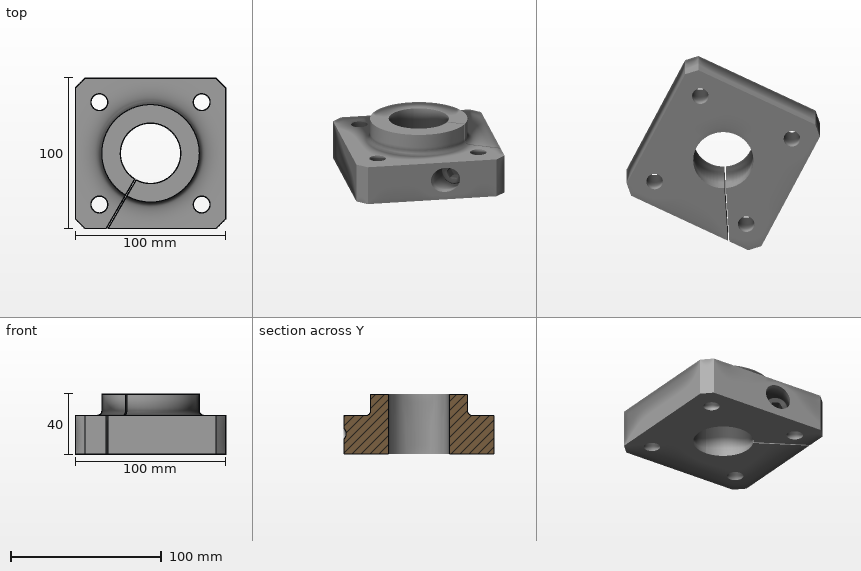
import cadquery as cq
import math

flange_side = 100.0
flange_height = 26.0
corner_chamfer = 6.5

total_height = 40.0
collar_diameter = 64.8
bore_diameter = 40.0
collar_fillet = 3.0

mount_hole_diameter = 11.0
mount_hole_spacing = 68.0

slit_width = 1.0
slit_angle = 30.0

screw_axis_radius = 32.75
screw_axis_height = 13.75
counterbore_diameter = 17.0
head_diameter = 16.0
head_height = 10.0
head_edge_fillet = 1.0
head_face_to_slit = 24.0
seat_to_slit = head_face_to_slit - head_height
socket_sides = 6
socket_across_flats = 8.0
socket_depth = 8.0

slit_sin = math.sin(math.radians(slit_angle))
slit_cos = math.cos(math.radians(slit_angle))


def make_body():
    """Chamfered square flange carrying a filleted round collar."""
    flange = (
        cq.Workplane("XY")
        .rect(flange_side, flange_side)
        .extrude(flange_height)
        .edges("|Z")
        .chamfer(corner_chamfer)
    )
    collar = (
        cq.Workplane("XY")
        .circle(collar_diameter / 2)
        .extrude(total_height)
        .rotate((0, 0, 0), (0, 0, 1), -90 - slit_angle)
    )
    collar_root = cq.selectors.NearestToPointSelector((0, 0, flange_height))
    return flange.union(collar).edges(collar_root).fillet(collar_fillet)


def make_vertical_holes():
    """Central bore and the four mounting holes, all running through."""
    bore = cq.Workplane("XY").circle(bore_diameter / 2).extrude(total_height)
    mount_holes = (
        cq.Workplane("XY")
        .rect(mount_hole_spacing, mount_hole_spacing, forConstruction=True)
        .vertices()
        .circle(mount_hole_diameter / 2)
        .extrude(flange_height)
    )
    return bore.union(mount_holes)


def make_slit():
    """Thin full-height blade from the bore axis out past the -Y side."""
    return (
        cq.Workplane("XY")
        .box(slit_width, flange_side, total_height, centered=(True, False, False))
        .rotate((0, 0, 0), (0, 0, 1), 180 - slit_angle)
    )


def screw_plane(distance_from_slit):
    """Plane square to the screw axis, its normal pointing out of the counterbore."""
    origin = (
        -screw_axis_radius * slit_sin - distance_from_slit * slit_cos,
        -screw_axis_radius * slit_cos + distance_from_slit * slit_sin,
        screw_axis_height,
    )
    outward = (-slit_cos, slit_sin, 0)
    return cq.Plane(origin=origin, xDir=(0, 0, 1), normal=outward)


def make_counterbore():
    """Round pocket from the head seat out through the -X side."""
    seat = screw_plane(seat_to_slit)
    return cq.Workplane(seat).circle(counterbore_diameter / 2).extrude(flange_side)


def make_screw_head():
    """Cylindrical screw head with a hexagon socket, resting on its seat."""
    seat = screw_plane(seat_to_slit)
    head = (
        cq.Workplane(seat)
        .circle(head_diameter / 2)
        .extrude(head_height)
        .faces(cq.selectors.DirectionMinMaxSelector(seat.zDir))
        .edges()
        .fillet(head_edge_fillet)
    )
    socket = (
        cq.Workplane(screw_plane(head_face_to_slit))
        .polygon(socket_sides, socket_across_flats, circumscribed=True)
        .extrude(-socket_depth)
    )
    return head.cut(socket)


result = (
    make_body()
    .cut(make_vertical_holes())
    .cut(make_slit())
    .cut(make_counterbore())
    .union(make_screw_head())
)